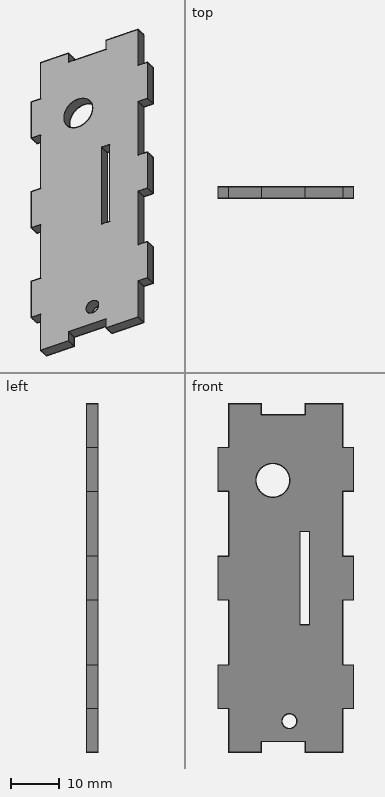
import cadquery as cq

width = 27.9
thickness = 2.4
height = 71.55

finger_length = 9.0
finger_depth = 2.25
tab_pitch = 22.3
tab_offsets = (-tab_pitch, 0, tab_pitch)
body_width = width - 2 * finger_depth
notch_margin = 6.7
notch_center_x = -body_width / 2 + notch_margin + finger_length / 2

large_hole_diameter = 6.9
large_hole_center = (-2.65, 20.05)
small_hole_diameter = 3.0
small_hole_center = (0.75, -29.35)
slot_width = 1.9
slot_length = 19.1
slot_center = (3.9, 0.0)


def block(size_x, size_z, center):
    """Full-thickness rectangular block centred at (x, z)."""
    x, z = center
    return cq.Workplane("XY").box(size_x, thickness, size_z).translate((x, 0, z))


def round_bar(diameter, center):
    """Full-thickness cylinder along Y centred at (x, z)."""
    x, z = center
    bar = cq.Workplane("XZ").circle(diameter / 2).extrude(thickness / 2, both=True)
    return bar.translate((x, 0, z))


panel = block(body_width, height, (0, 0))
for tab_z in tab_offsets:
    panel = panel.union(block(width, finger_length, (0, tab_z)))

for side in (-1, 1):
    notch_z = side * (height - finger_depth) / 2
    panel = panel.cut(block(finger_length, finger_depth, (notch_center_x, notch_z)))

panel = panel.cut(round_bar(large_hole_diameter, large_hole_center))
panel = panel.cut(round_bar(small_hole_diameter, small_hole_center))
panel = panel.cut(block(slot_width, slot_length, slot_center))

result = panel